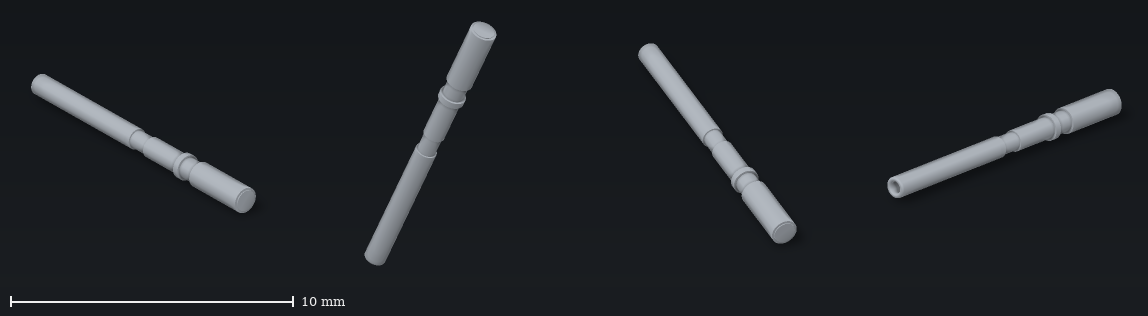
import cadquery as cq

length = 11.28
sleeve_end = 5.11
neck_start = 5.36
neck_end = 6.14
collar_start = 7.87
collar_end = 8.11
barrel_start = 8.75
barrel_end = 11.25

barrel_radius = 0.49
shaft_radius = 0.4
neck_radius = 0.34
socket_radius = 0.23

mouth_rounding = (shaft_radius - socket_radius) / 2


def cylinder(start, end, radius):
    """Solid cylinder along X between two axial positions."""
    return cq.Workplane("YZ", origin=(start, 0, 0)).circle(radius).extrude(end - start)


def make_sleeve():
    """Front tube whose mouth is a full half-round lip."""
    lip_middle = (0, socket_radius + mouth_rounding)
    profile = (
        cq.Workplane("XY")
        .moveTo(mouth_rounding, socket_radius)
        .threePointArc(lip_middle, (mouth_rounding, shaft_radius))
        .lineTo(sleeve_end, shaft_radius)
        .lineTo(sleeve_end, socket_radius)
        .close()
    )
    return profile.revolve(360, (0, 0, 0), (1, 0, 0))


def make_contact():
    """Solid contact: shoulder, neck, collar and a shaft that runs to the rear end."""
    contact = cylinder(sleeve_end, neck_start, shaft_radius)
    contact = contact.union(cylinder(neck_start, neck_end, neck_radius))
    contact = contact.union(cylinder(neck_end, length, shaft_radius))
    return contact.union(cylinder(collar_start, collar_end, barrel_radius))


def make_barrel():
    """Rear tube fitted on the shaft, which stands slightly proud of it."""
    outside = cylinder(barrel_start, barrel_end, barrel_radius)
    return outside.cut(cylinder(barrel_start, barrel_end, shaft_radius))


sleeve = make_sleeve()
contact = make_contact()
barrel = make_barrel()
result = cq.Compound.makeCompound([sleeve.val(), contact.val(), barrel.val()])